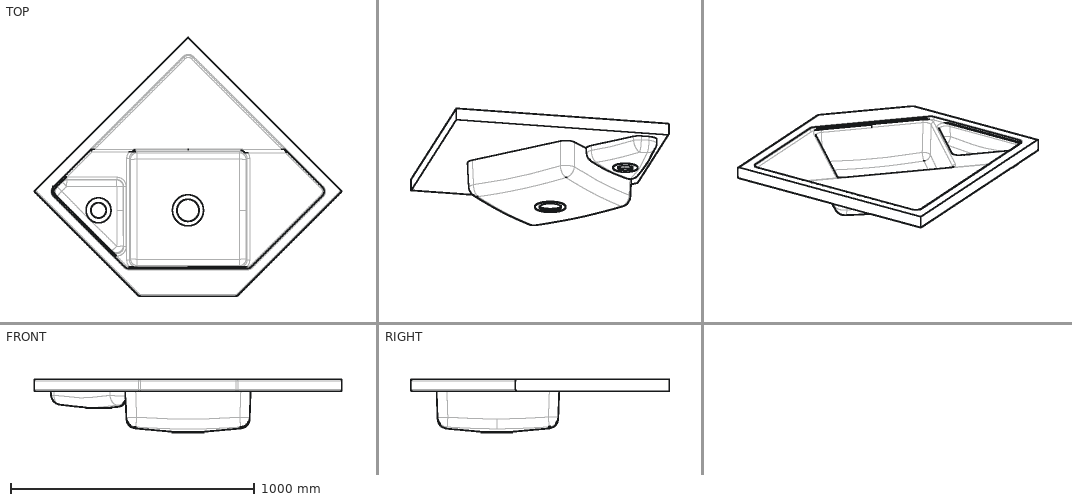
import cadquery as cq
import math

half_width = 633.1
depth = 1064.57
total_height = 220.0
slab_thickness = 50.0
front_corner_radius = 12.0
front_edge_radius = 7.5

rim_width = 44.0
front_rim_width = 114.0
recess_corner_radius = 26.0
recess_taper = 50.0
recess_rim_radius = 5.0
recess_floor_radius = 8.0
back_deck_depth = 9.0
left_deck_depth = 12.0
right_deck_depth = 14.0
step_y = -459.0
left_step_run = 10.0
right_step_run = 16.0

wall = 16.0
wall_draft = 2.0
inner_radius = 28.0
outer_radius = inner_radius + wall - 2.0
floor_slope = 0.09
floor_thickness = 14.0
drain_y = -711.0
drain_pad_height = 3.0
drain_recess_depth = 10.0

main_half_width = 243.0
main_back_y = -468.0
main_front_y = -943.0
main_mouth_radius = 11.0
main_drain_x = 0.0
main_drain_diameter = 90.0
main_pad_diameter = 128.0
main_bottom_z = -total_height

side_back_y = -583.0
side_right_x = -265.0
side_rim_distance = 51.0
side_mouth_radius = 10.0
side_drain_x = -368.0
side_drain_diameter = 62.0
side_pad_diameter = 103.0
side_bottom_z = -120.0

SQRT2 = math.sqrt(2)

select_margin = 1.0


def prism(outline, top_z, height, taper=0.0):
    """Solid from the outline at top_z down over the height, narrowing by the taper."""
    return cq.Workplane("XY").workplane(offset=top_z).polyline(outline).close().extrude(-height, taper=taper)


def turned(profile, x):
    """Solid of revolution about the vertical axis of the drain at x; profile points are (radius, z)."""
    solid = cq.Workplane("XZ").polyline(profile).close().revolve(360, (0, 0), (0, 1))
    return solid.translate((x, drain_y, 0))


def near(lower, upper):
    """Selector for whatever has its centre in the box between two corners, give or take a margin."""
    low = [value - select_margin for value in lower]
    high = [value + select_margin for value in upper]
    return cq.selectors.BoxSelector(low, high)


def mitred_outline(margin, front_margin):
    """Slab outline drawn in by a margin on the slanted sides and another along the front."""
    side_x = half_width - margin * SQRT2
    front_y = front_margin - depth
    front_x = side_x + half_width + front_y
    right_side = [(side_x, -half_width), (front_x, front_y)]
    left_side = [(-front_x, front_y), (-side_x, -half_width)]
    return [(0, -margin * SQRT2)] + right_side + left_side


def make_slab():
    slab = prism(mitred_outline(0, 0), 0, slab_thickness)
    front_corners = near((-half_width / 2, -depth, -slab_thickness), (half_width / 2, -depth, 0))
    slab = slab.edges("|Z").edges(front_corners).fillet(front_corner_radius)
    front_edges = near((-half_width, -depth, -slab_thickness), (half_width, -half_width - 2 * select_margin, 0))
    return slab.edges("#Z").edges(front_edges).fillet(front_edge_radius)


def round_mouth(cutter, level, height, radius):
    """The cutter with its mouth flared, so that it leaves a rounded lip at the given depth."""
    block = cq.Workplane("XY").box(4 * half_width, 4 * depth, height, centered=(True, True, False))
    block = block.translate((0, 0, -level - height))
    mouth = near((-half_width, -depth, -level), (half_width, 0, -level))
    return block.cut(block.cut(cutter).edges(mouth).fillet(radius))


def make_recess(recess_depth):
    """Tapered pocket from the top face; its outline has rounded corners."""
    upright = prism(mitred_outline(rim_width, front_rim_width), 0, recess_depth)
    upright = upright.edges("|Z").fillet(recess_corner_radius)
    return upright.faces(">Z").wires().toPending().extrude(-recess_depth, taper=recess_taper)


def make_deck(deck_depth):
    return make_recess(deck_depth).faces("<Z").edges().fillet(recess_floor_radius)


def make_back_deck():
    """Recess at back deck level, with a rounded rim; the block below it is one unit taller than the pocket."""
    return round_mouth(make_deck(back_deck_depth), 0, back_deck_depth + select_margin, recess_rim_radius)


def make_deck_zone(side, deck_depth, step_run):
    """Everything in front of the sloped step on one side (-1 left, +1 right)."""
    profile = [
        (step_y, 0),
        (step_y, -back_deck_depth),
        (step_y - step_run, -deck_depth),
        (step_y - step_run, -slab_thickness),
        (-depth, -slab_thickness),
        (-depth, 0),
    ]
    return cq.Workplane("YZ").polyline(profile).close().extrude(side * half_width)


def make_side_deck(side, deck_depth, step_run):
    return make_deck(deck_depth).intersect(make_deck_zone(side, deck_depth, step_run))


def main_outline(growth):
    x = main_half_width + growth
    back_y = main_back_y + growth
    front_y = main_front_y - growth
    return [(-x, back_y), (x, back_y), (x, front_y), (-x, front_y)]


def side_outline(growth):
    rim_reach = (side_rim_distance - growth) * SQRT2
    right_x = side_right_x + growth
    back_y = side_back_y + growth
    front_y = rim_reach - 2 * half_width - right_x
    return [
        (back_y + rim_reach, back_y),
        (right_x, back_y),
        (right_x, front_y),
        (rim_reach - half_width, -half_width),
    ]


def make_bowl(outline, top_z, drain_x, drain_z, drain_radius, radius):
    """Rounded bowl body with a conical floor that reaches drain_z at the drain radius."""
    walls = prism(outline, top_z, total_height, wall_draft)
    tip_z = drain_z - floor_slope * drain_radius
    edge_z = tip_z + floor_slope * half_width
    above_floor = turned([(0, tip_z), (half_width, edge_z), (half_width, half_width), (0, half_width)], drain_x)
    return walls.intersect(above_floor).edges("not(>Z)").fillet(radius)


def make_shell_body(outline, drain_x, bottom_z, pad_diameter):
    """Outside of a bowl, with a round flat pad under its drain."""
    pad_radius = pad_diameter / 2
    pad_top_z = bottom_z + drain_pad_height
    bowl = make_bowl(outline, -slab_thickness / 2, drain_x, pad_top_z, pad_radius, outer_radius)
    above_pad = turned([(0, pad_top_z), (half_width, pad_top_z), (half_width, 0), (0, 0)], drain_x)
    pad_root_z = pad_top_z + floor_thickness / 2
    pad = turned([(0, bottom_z), (pad_radius, bottom_z), (pad_radius, pad_root_z), (0, pad_root_z)], drain_x)
    return bowl.intersect(above_pad).union(pad)


def make_hollow(outline, drain_x, bottom_z, pad_diameter, drain_diameter):
    """Inside of a bowl, with the drain hole and its conical seat."""
    pad_radius = pad_diameter / 2
    drain_radius = drain_diameter / 2
    floor_z = bottom_z + drain_pad_height + floor_thickness
    seat_z = floor_z - drain_recess_depth
    bowl = make_bowl(outline, 0, drain_x, floor_z, pad_radius, inner_radius)
    drain = turned(
        [(0, floor_z), (pad_radius, floor_z), (drain_radius, seat_z), (drain_radius, bottom_z), (0, bottom_z)],
        drain_x,
    )
    return bowl.union(drain)


def make_mouth(hollow, level, radius):
    """Bowl hollow with a rounded lip at deck level, kept within the recess."""
    height = 2 * radius
    return round_mouth(hollow, level, height, radius).intersect(make_recess(level + height))


main_hollow = make_hollow(main_outline(0), main_drain_x, main_bottom_z, main_pad_diameter, main_drain_diameter)
side_hollow = make_hollow(side_outline(0), side_drain_x, side_bottom_z, side_pad_diameter, side_drain_diameter)

result = make_slab()
result = result.union(make_shell_body(main_outline(wall), main_drain_x, main_bottom_z, main_pad_diameter))
result = result.union(make_shell_body(side_outline(wall), side_drain_x, side_bottom_z, side_pad_diameter))
result = result.cut(make_back_deck())
result = result.cut(make_side_deck(-1, left_deck_depth, left_step_run))
result = result.cut(make_side_deck(1, right_deck_depth, right_step_run))

left_zone = make_deck_zone(-1, left_deck_depth, left_step_run)
right_zone = make_deck_zone(1, right_deck_depth, right_step_run)
result = result.cut(make_mouth(main_hollow, back_deck_depth, main_mouth_radius))
result = result.cut(make_mouth(main_hollow, left_deck_depth, main_mouth_radius).intersect(left_zone))
result = result.cut(make_mouth(main_hollow, right_deck_depth, main_mouth_radius).intersect(right_zone))
result = result.cut(make_mouth(side_hollow, left_deck_depth, side_mouth_radius))

result = result.cut(main_hollow).cut(side_hollow)